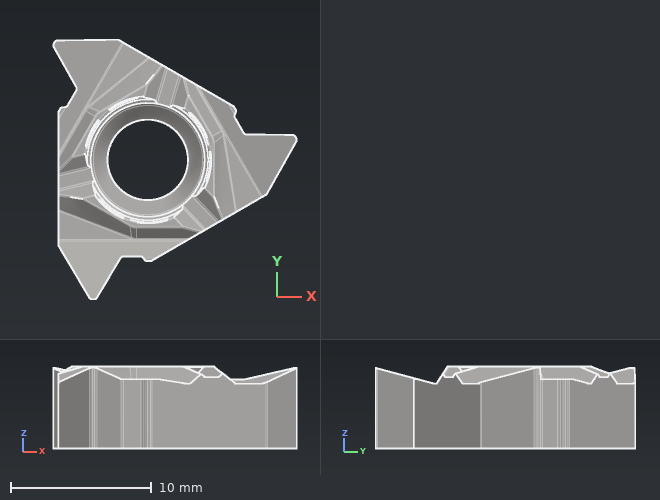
import cadquery as cq
import math


TEETH = 3
HEIGHT = 5.85
CLEAR = 0.92

SIDE_DISTANCE = 6.35
SHOULDER_DISTANCE = 6.09
TOOTH_X = -3.87
TIP_DISTANCE = 9.9
FLANK_ANGLE = math.radians(30.7)
ROOT_DISTANCE = 6.86
BUMP_DISTANCE = 7.2
BUMP_ROOT_X = -0.39
BUMP_END_X = -0.15
CORNER_RADIUS = 0.22
BUMP_HEIGHT = 4.95
BUMP_CUT_WIDTH = 1.85

FLOOR_Z = 4.61
RAKE_ANGLE = math.radians(15)
RAKE_START = 5.7
RAKE_BLEND = 0.37
WALL_BASE = 5.59
WALL_TOP = 4.8
WALL_BASE_BEND_X = -1.0
WALL_TOP_BEND_X = -1.05
WALL_BASE_SLOPE = 0.38
WALL_TOP_SLOPE = 0.57
WALL_BLEND = 0.11
WALL_BEND_RADIUS = 1.1

SLOT_ANGLE = 193.7
SLOT_FLOOR_Z = 5.07
SLOT_OFFSET = 0.04
SLOT_FLOOR_WIDTH = 1.07
SLOT_BLEND = 0.24
SLOT_TOP_WIDTH = 2.99

HOLE_DIAMETER = 5.7
BOWL_BOTTOM_Z = 1.92
BOWL_TOP_Z = 4.8
BOWL_ARC_RADIUS = 4.52
CREST_RADIUS = 4.04
LEDGE_Z = SLOT_FLOOR_Z
LEDGE_OUTER_RADIUS = 4.25
LEDGE_BLEND = 0.24
RECESS_TOP_RADIUS = 4.45
RIM_ROUND = 0.1
RIDGE_MARGIN = 0.33


def repeat(shape):
    """Copies of a shape, one per tooth."""
    return [shape.rotate((0, 0, 0), (0, 0, 1), i * 360 / TEETH) for i in range(TEETH)]


def nearest(*point):
    """Selects the edge whose middle lies closest to the point."""
    return cq.selectors.NearestToPointSelector(point)


def circle_at(radius, z):
    """Selects the circular edges of this radius and height around the Z axis."""
    margin = 0.02
    outer = radius + margin
    box = cq.selectors.BoxSelector((-outer, -outer, z - margin), (outer, outer, z + margin), True)
    inner = radius - margin
    smaller = cq.selectors.BoxSelector((-inner, -inner, z - margin), (inner, inner, z + margin), True)
    return box - smaller


def rotated(point, angle):
    """A point in the XY plane turned around the origin."""
    x, y = point
    return (
        x * math.cos(angle) - y * math.sin(angle),
        x * math.sin(angle) + y * math.cos(angle),
    )


def tooth_outline():
    """Corners of one third of the outline, from the shoulder to the bump."""
    apex_y = -SHOULDER_DISTANCE - (SIDE_DISTANCE + TOOTH_X) / math.tan(FLANK_ANGLE)
    tip_half = (-TIP_DISTANCE - apex_y) * math.tan(FLANK_ANGLE)
    root_half = (-ROOT_DISTANCE - apex_y) * math.tan(FLANK_ANGLE)
    half_turn = math.radians(180 / TEETH)
    bump_side_x = (SIDE_DISTANCE - BUMP_DISTANCE * math.sin(half_turn)) / math.cos(half_turn)
    return [
        (-SIDE_DISTANCE, -SHOULDER_DISTANCE),
        (TOOTH_X - tip_half, -TIP_DISTANCE),
        (TOOTH_X + tip_half, -TIP_DISTANCE),
        (TOOTH_X + root_half, -ROOT_DISTANCE),
        (BUMP_ROOT_X, -ROOT_DISTANCE),
        (BUMP_END_X, -BUMP_DISTANCE),
        (bump_side_x, -BUMP_DISTANCE),
    ]


def make_body():
    """Full-height block with the toothed outline and rounded upright edges."""
    third = tooth_outline()
    points = [rotated(point, i * 2 * math.pi / TEETH) for i in range(TEETH) for point in third]
    body = cq.Workplane("XY").polyline(points).close().extrude(HEIGHT)
    return body.edges("|Z").fillet(CORNER_RADIUS)


def wall_section(base_x, base_y, top_x, top_y):
    """Cross-section of the chip breaker groove, from its wall out to the rake face."""
    reach = (HEIGHT + CLEAR - FLOOR_Z) / (HEIGHT - FLOOR_Z)
    high_x = base_x + (top_x - base_x) * reach
    high_y = base_y + (top_y - base_y) * reach
    return cq.Wire.makePolygon(
        [
            cq.Vector(base_x, base_y, FLOOR_Z),
            cq.Vector(high_x, high_y, HEIGHT + CLEAR),
            cq.Vector(high_x, -RAKE_START, HEIGHT + CLEAR),
            cq.Vector(base_x, -RAKE_START, FLOOR_Z),
        ],
        close=True,
    )


def make_rake_cutter():
    """Space above the rake face, the groove floor and the bent chip breaker wall."""
    left_x = -SIDE_DISTANCE - CLEAR
    right_x = SIDE_DISTANCE
    left_base_y = -WALL_BASE + WALL_BASE_SLOPE * (WALL_BASE_BEND_X - left_x)
    left_top_y = -WALL_TOP + WALL_TOP_SLOPE * (WALL_TOP_BEND_X - left_x)
    bend = wall_section(WALL_BASE_BEND_X, -WALL_BASE, WALL_TOP_BEND_X, -WALL_TOP)
    left = wall_section(left_x, left_base_y, left_x, left_top_y)
    right = wall_section(right_x, -WALL_BASE, right_x, -WALL_TOP)
    groove = cq.Workplane(cq.Solid.makeLoft([left, bend], True))
    groove = groove.union(cq.Workplane(cq.Solid.makeLoft([bend, right], True)))

    outer = TIP_DISTANCE + CLEAR
    outer_z = FLOOR_Z + (outer - RAKE_START) * math.tan(RAKE_ANGLE)
    rake = (
        cq.Workplane("YZ", origin=(left_x, 0, 0))
        .moveTo(-RAKE_START, FLOOR_Z)
        .lineTo(-outer, outer_z)
        .lineTo(-outer, HEIGHT + CLEAR)
        .lineTo(-RAKE_START, HEIGHT + CLEAR)
        .close()
        .extrude(right_x - left_x)
    )
    cutter = groove.union(rake)
    bend_y = -(WALL_BASE + WALL_TOP) / 2
    bend_point = ((WALL_BASE_BEND_X + WALL_TOP_BEND_X) / 2, bend_y, (FLOOR_Z + HEIGHT) / 2)
    cutter = cutter.edges(nearest(*bend_point)).fillet(WALL_BEND_RADIUS)
    foot_point = ((left_x + WALL_BASE_BEND_X) / 2, (left_base_y - WALL_BASE) / 2, FLOOR_Z)
    cutter = cutter.edges(nearest(*foot_point)).fillet(WALL_BLEND)
    return cutter.edges(nearest(0, -RAKE_START, FLOOR_Z)).fillet(RAKE_BLEND)


def make_bump_cutter():
    """Levels the end of the bump behind the tooth."""
    return (
        cq.Workplane("XY", origin=(0, -BUMP_DISTANCE, BUMP_HEIGHT))
        .rect(BUMP_CUT_WIDTH, 2 * (BUMP_DISTANCE - ROOT_DISTANCE))
        .extrude(CLEAR)
    )


def make_slot_cutter():
    """Radial slot with a flat floor and sloping walls."""
    floor_half = SLOT_FLOOR_WIDTH / 2
    slope = (SLOT_TOP_WIDTH - SLOT_FLOOR_WIDTH) / 2 / (HEIGHT - SLOT_FLOOR_Z)
    high_half = floor_half + slope * (HEIGHT + CLEAR - SLOT_FLOOR_Z)
    return (
        cq.Workplane("YZ", origin=(0, SLOT_OFFSET, 0))
        .polyline(
            [
                (-floor_half, SLOT_FLOOR_Z),
                (floor_half, SLOT_FLOOR_Z),
                (high_half, HEIGHT + CLEAR),
                (-high_half, HEIGHT + CLEAR),
            ]
        )
        .close()
        .extrude(TIP_DISTANCE)
        .edges("|X and <Z")
        .fillet(SLOT_BLEND)
        .rotate((0, 0, 0), (0, 0, 1), SLOT_ANGLE)
    )


def make_hole_cutter():
    """Through hole that opens into a rounded bowl, a narrow ledge and a conical recess."""
    hole_radius = HOLE_DIAMETER / 2

    def bowl_radius(z):
        rise = z - BOWL_BOTTOM_Z
        return hole_radius + BOWL_ARC_RADIUS - math.sqrt(BOWL_ARC_RADIUS**2 - rise**2)

    middle_z = (BOWL_BOTTOM_Z + BOWL_TOP_Z) / 2
    cutter = (
        cq.Workplane("XZ")
        .moveTo(0, 0)
        .lineTo(hole_radius, 0)
        .lineTo(hole_radius, BOWL_BOTTOM_Z)
        .threePointArc((bowl_radius(middle_z), middle_z), (bowl_radius(BOWL_TOP_Z), BOWL_TOP_Z))
        .tangentArcPoint((CREST_RADIUS, LEDGE_Z), relative=False)
        .lineTo(LEDGE_OUTER_RADIUS, LEDGE_Z)
        .lineTo(RECESS_TOP_RADIUS, HEIGHT)
        .lineTo(RECESS_TOP_RADIUS + CLEAR, HEIGHT)
        .lineTo(RECESS_TOP_RADIUS + CLEAR, HEIGHT + CLEAR)
        .lineTo(0, HEIGHT + CLEAR)
        .close()
        .revolve(360, (0, 0, 0), (0, 1, 0))
    )
    cutter = cutter.edges(circle_at(LEDGE_OUTER_RADIUS, LEDGE_Z)).fillet(LEDGE_BLEND)
    return cutter.edges(circle_at(RECESS_TOP_RADIUS, HEIGHT)).fillet(RIM_ROUND)


def round_top_edges(body):
    """Rounds the edges of the top face and the ridges that run down from its outer corners."""
    ridge_bottom = (-SIDE_DISTANCE, -SIDE_DISTANCE, SLOT_FLOOR_Z + RIDGE_MARGIN)
    ridge_top = (SIDE_DISTANCE, SIDE_DISTANCE, HEIGHT - RIM_ROUND)
    ridges = body.edges(cq.selectors.BoxSelector(ridge_bottom, ridge_top))
    return ridges.add(body.faces(">Z").edges()).fillet(RIM_ROUND)


result = make_body()
for cutter in (make_rake_cutter(), make_bump_cutter(), make_slot_cutter()):
    for copy in repeat(cutter):
        result = result.cut(copy)
result = round_top_edges(result)
result = result.cut(make_hole_cutter())